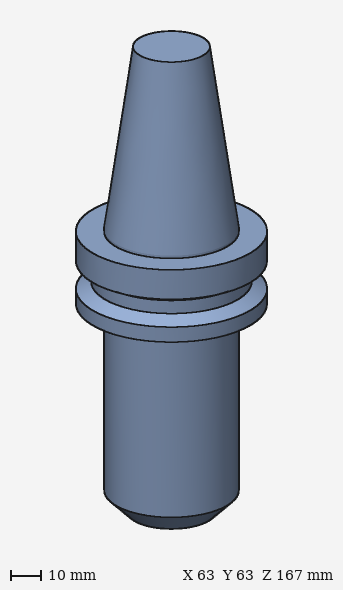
import cadquery as cq


gauge_diameter = 44.45
taper_length = 65.4
taper_ratio = 7 / 24
tip_diameter = gauge_diameter - taper_ratio * taper_length

flange_diameter = 63.0
flange_top = -1.0
flange_bottom = -27.0
groove_floor_diameter = 53.0
groove_center = -16.6
groove_mouth_width = 10.0
groove_floor_width = 4.7

nose_diameter = gauge_diameter
overall_length = 167.0
nose_bottom = taper_length - overall_length
nose_chamfer = 7.5
nose_end_diameter = nose_diameter - 2 * nose_chamfer


def make_shank_and_nose():
    """Tapered shank, cylindrical core and chamfered nose in one revolved profile."""
    profile = (
        cq.Workplane("XZ")
        .moveTo(0, taper_length)
        .lineTo(tip_diameter / 2, taper_length)
        .lineTo(gauge_diameter / 2, 0)
        .lineTo(nose_diameter / 2, nose_bottom + nose_chamfer)
        .lineTo(nose_end_diameter / 2, nose_bottom)
        .lineTo(0, nose_bottom)
        .close()
    )
    return profile.revolve(360, (0, 0, 0), (0, 1, 0))


def make_flange():
    """Flange disc with the trapezoidal groove around its rim."""
    rim_radius = flange_diameter / 2
    floor_radius = groove_floor_diameter / 2
    profile = (
        cq.Workplane("XZ")
        .moveTo(0, flange_top)
        .lineTo(rim_radius, flange_top)
        .lineTo(rim_radius, groove_center + groove_mouth_width / 2)
        .lineTo(floor_radius, groove_center + groove_floor_width / 2)
        .lineTo(floor_radius, groove_center - groove_floor_width / 2)
        .lineTo(rim_radius, groove_center - groove_mouth_width / 2)
        .lineTo(rim_radius, flange_bottom)
        .lineTo(0, flange_bottom)
        .close()
    )
    return profile.revolve(360, (0, 0, 0), (0, 1, 0))


result = make_shank_and_nose().union(make_flange())